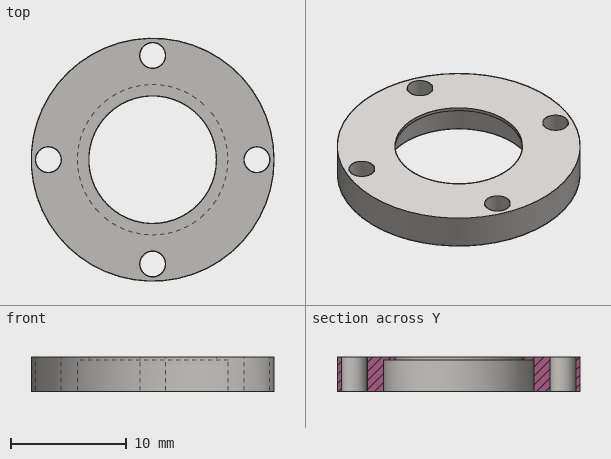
import cadquery as cq

outer_diameter = 21.0
thickness = 3.0

bore_diameter = 11.0
recess_diameter = 13.0
lip_thickness = 0.3
recess_depth = thickness - lip_thickness

hole_count = 4
hole_diameter = 2.2
hole_circle_radius = 9.0


def make_ring():
    """Flat disc with the central bore running through it."""
    return (
        cq.Workplane("XY")
        .circle(outer_diameter / 2)
        .circle(bore_diameter / 2)
        .extrude(thickness)
    )


def make_recess():
    """Cutter for the wider part of the bore, from the bottom face up to the lip."""
    return cq.Workplane("XY").circle(recess_diameter / 2).extrude(recess_depth)


def make_mounting_holes():
    """Cutters for the through holes, evenly spaced from the X axis."""
    return (
        cq.Workplane("XY")
        .polarArray(hole_circle_radius, 0, 360, hole_count)
        .circle(hole_diameter / 2)
        .extrude(thickness)
    )


result = make_ring().cut(make_recess()).cut(make_mounting_holes())